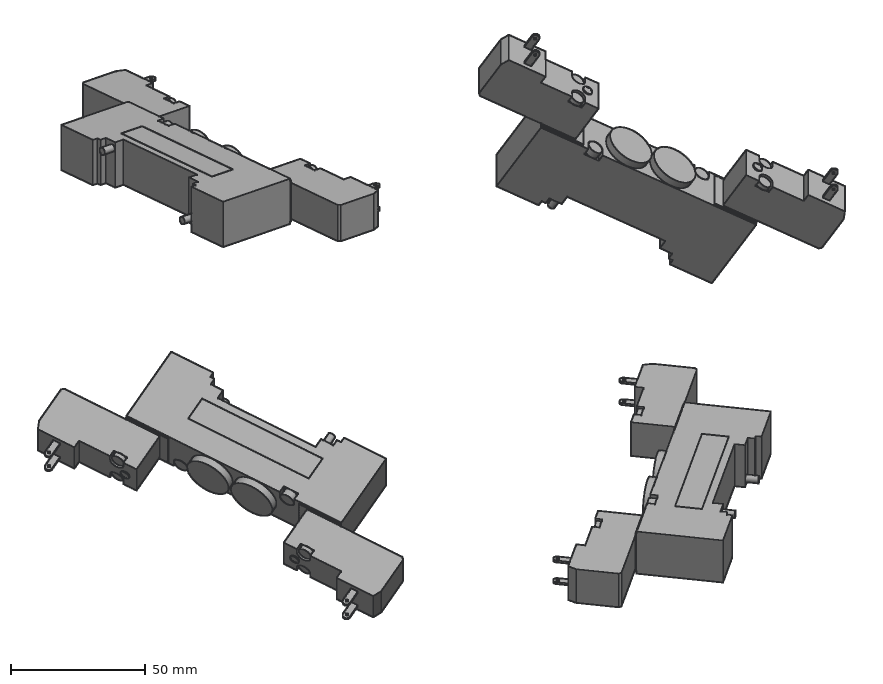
import cadquery as cq


body_half_length = 46.5
body_depth = 32.9
body_thickness = 18.5
leg_inner_x = 28.3
ledge_y = 2.2
ledge_inner_x = 26.5
seat_y = 4.9
seat_inner_x = 21.2
channel_y = 8.9

label_length = 52.2
label_front_y = 12.0
label_back_y = 22.2
label_depth = 0.1

boss_diameter = 18.0
boss_height = 3.1
boss_x = 9.5

pad_height = 0.5
pad_width = 16.7

screw_x = 23.0
screw_shank_diameter = 3.0
screw_head_diameter = 5.8
screw_head_height = 3.0
screw_slot_width = 6.2
screw_z = (body_thickness - screw_head_diameter) / 2
screw_head_y = body_depth - screw_head_height

coil_outer_x = 74.1
coil_inner_x = 31.9
coil_step_x = 56.8
coil_thickness = 14.8
coil_front_y = body_depth + pad_height
coil_step_y = 50.4
coil_back_y = 53.8
coil_front_chamfer = 0.9
coil_back_chamfer_x = 1.5
coil_back_chamfer_y = coil_back_y - coil_step_y

coil_head_x = 40.5
coil_head_diameter = 5.3
coil_head_overhang = 0.5
coil_head_height = 2.0
coil_slot_width = 5.8
coil_slot_depth = 2.8
coil_slot_floor_y = coil_step_y - coil_slot_depth
coil_head_z = coil_thickness / 2 + coil_head_overhang - coil_head_diameter / 2

button_x = 36.8
button_diameter = 3.9
button_height = 0.5

terminal_x = 64.5
terminal_z = 4.7
terminal_width = 3.0
terminal_thickness = 0.9
terminal_tip_y = 61.0
terminal_hole_diameter = 1.0
terminal_hole_from_tip = 1.8


def box(x_min, x_max, y_min, y_max, z_min, z_max):
    """Box given by its limits along each axis."""
    return cq.Workplane("XY").box(
        x_max - x_min, y_max - y_min, z_max - z_min, centered=False
    ).translate((x_min, y_min, z_min))


def rod(diameter, x, z, y_start, length):
    """Cylinder that runs along +Y from y_start."""
    return cq.Workplane("XZ", origin=(x, y_start, z)).circle(diameter / 2).extrude(-length)


def open_slot(width, x, z, y_floor, depth, z_open):
    """Round-bottomed cutter along +Y, open in Z from its axis to the level z_open."""
    half_width = width / 2
    round_end = rod(width, x, z, y_floor, depth)
    opening = box(x - half_width, x + half_width, y_floor, y_floor + depth, min(z, z_open), max(z, z_open))
    return round_end.union(opening)


def make_body():
    """Valve body with legs, channel, bosses, label recess and screw holes."""
    right_half = [
        (0, channel_y),
        (seat_inner_x, channel_y),
        (seat_inner_x, seat_y),
        (ledge_inner_x, seat_y),
        (ledge_inner_x, ledge_y),
        (leg_inner_x, ledge_y),
        (leg_inner_x, 0),
        (body_half_length, 0),
        (body_half_length, body_depth),
        (0, body_depth),
    ]
    half_thickness = body_thickness / 2
    body = (
        cq.Workplane("XY", origin=(0, 0, -half_thickness))
        .polyline(right_half)
        .mirrorY()
        .extrude(body_thickness)
    )
    label = box(-label_length / 2, label_length / 2, label_front_y, label_back_y,
                half_thickness - label_depth, half_thickness)
    body = body.cut(label)

    for side in (-1, 1):
        body = body.union(rod(boss_diameter, side * boss_x, 0, body_depth, boss_height))
        z = -side * screw_z
        body = body.cut(rod(screw_shank_diameter, side * screw_x, z, 0, body_depth))
        body = body.cut(open_slot(screw_slot_width, side * screw_x, z, screw_head_y,
                                  screw_head_height, -side * half_thickness))
    return body


def make_mounting_screw(side):
    """Screw through the body; side is -1 for the left one and 1 for the right one."""
    x = side * screw_x
    z = -side * screw_z
    shank = rod(screw_shank_diameter, x, z, 0, screw_head_y)
    head = rod(screw_head_diameter, x, z, screw_head_y, screw_head_height)
    return shank.union(head)


def make_terminal(z):
    """Flat tab with a round tip and a small hole, centred on the level z."""
    half_width = terminal_width / 2
    tip_start_y = terminal_tip_y - half_width
    return (
        cq.Workplane("XY", origin=(terminal_x, 0, z - terminal_thickness / 2))
        .moveTo(-half_width, coil_back_y)
        .lineTo(half_width, coil_back_y)
        .lineTo(half_width, tip_start_y)
        .threePointArc((0, terminal_tip_y), (-half_width, tip_start_y))
        .close()
        .moveTo(0, terminal_tip_y - terminal_hole_from_tip)
        .circle(terminal_hole_diameter / 2)
        .extrude(terminal_thickness)
    )


def make_coil(side):
    """Coil with its pad, screw heads, button and terminals; side is -1 for left and 1 for right."""
    half_thickness = coil_thickness / 2
    outline = [
        (coil_inner_x, coil_front_y),
        (coil_outer_x - coil_front_chamfer, coil_front_y),
        (coil_outer_x, coil_front_y + coil_front_chamfer),
        (coil_outer_x, coil_back_y - coil_back_chamfer_y),
        (coil_outer_x - coil_back_chamfer_x, coil_back_y),
        (coil_step_x, coil_back_y),
        (coil_step_x, coil_step_y),
        (coil_inner_x, coil_step_y),
    ]
    coil = (
        cq.Workplane("XY", origin=(0, 0, -half_thickness))
        .polyline(outline)
        .close()
        .extrude(coil_thickness)
    )
    pad = box(leg_inner_x, body_half_length, body_depth, coil_front_y, -pad_width / 2, pad_width / 2)
    coil = coil.union(pad)
    for level in (-1, 1):
        z = level * coil_head_z
        slot = open_slot(coil_slot_width, coil_head_x, z, coil_slot_floor_y,
                         coil_slot_depth, level * half_thickness)
        head = rod(coil_head_diameter, coil_head_x, z, coil_slot_floor_y, coil_head_height)
        coil = coil.cut(slot).union(head)
        coil = coil.union(make_terminal(level * terminal_z))
    coil = coil.union(rod(button_diameter, button_x, 0, coil_step_y, button_height))
    if side < 0:
        coil = coil.mirror("YZ")
    return coil


sides = (-1, 1)
body = make_body()
coils = [make_coil(side) for side in sides]
mounting_screws = [make_mounting_screw(side) for side in sides]

result = cq.Compound.makeCompound(
    [body.val()] + [coil.val() for coil in coils] + [screw.val() for screw in mounting_screws]
)